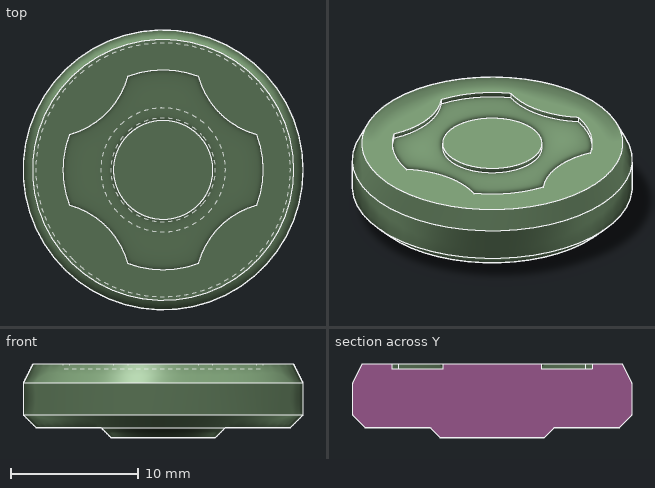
import cadquery as cq

full_turn = 360

outer_radius = 11.0
top_bevel_height = 1.5
top_bevel_width = 0.75
rim_height = 2.5
bottom_bevel = 1.01

boss_height = 0.8
boss_base_radius = 4.88
boss_tip_radius = boss_base_radius - boss_height

recess_radius = 7.85
recess_depth = 0.4
island_radius = 3.9
lobe_count = 4
lobe_radius = 6.5
lobe_reach = 6.3

first_lobe_angle = full_turn / lobe_count / 2

disc_bottom = boss_height
rim_bottom = disc_bottom + bottom_bevel
rim_top = rim_bottom + rim_height
disc_top = rim_top + top_bevel_height


def make_body():
    """Disc and boss turned about Z from one half profile."""
    profile = [
        (0, 0),
        (boss_tip_radius, 0),
        (boss_base_radius, disc_bottom),
        (outer_radius - bottom_bevel, disc_bottom),
        (outer_radius, rim_bottom),
        (outer_radius, rim_top),
        (outer_radius - top_bevel_width, disc_top),
        (0, disc_top),
    ]
    return cq.Workplane("XZ").polyline(profile).close().revolve(full_turn, (0, 0, 0), (0, 1, 0))


def make_recess():
    """Ring-shaped cutter whose outer edge is notched by lobes on the diagonals."""
    floor = cq.Workplane("XY").workplane(offset=disc_top - recess_depth)
    cutter = floor.circle(recess_radius).circle(island_radius).extrude(recess_depth)
    lobes = (
        floor.polarArray(lobe_reach + lobe_radius, first_lobe_angle, full_turn, lobe_count)
        .circle(lobe_radius)
        .extrude(recess_depth)
    )
    return cutter.cut(lobes)


result = make_body().cut(make_recess())